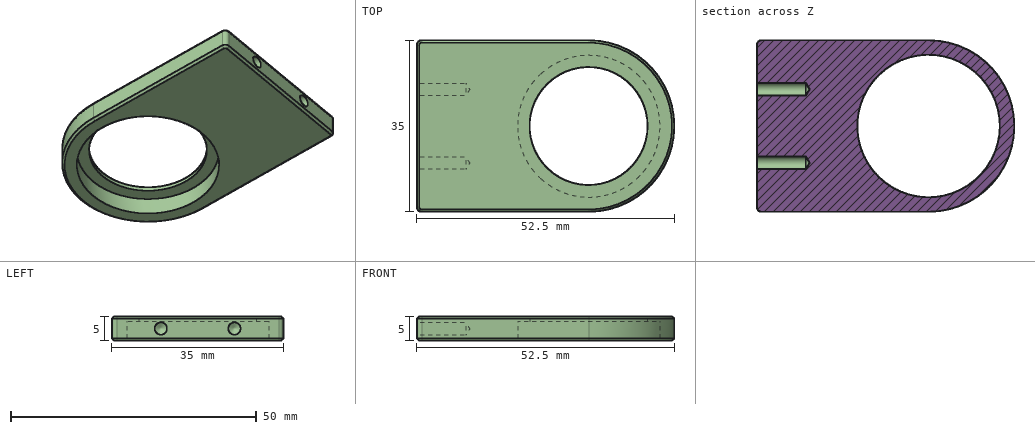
import cadquery as cq
import math

width = 35.0
end_radius = width / 2
straight_length = 35.0
thickness = 5.0
corner_radius = 1.0
edge_chamfer = 0.5

bore_diameter = 24.0
lip_thickness = 1.0
recess_diameter = 29.0

hole_diameter = 2.5
hole_spacing = 15.0
hole_depth = 10.0
drill_point_angle = 118.0


def make_plate():
    """Round-ended plate with rounded square corners and chamfered rims."""
    plate = (
        cq.Workplane("XY")
        .moveTo(0, -end_radius)
        .threePointArc((end_radius, 0), (0, end_radius))
        .lineTo(-straight_length, end_radius)
        .lineTo(-straight_length, -end_radius)
        .close()
        .extrude(thickness)
    )
    plate = plate.edges("|Z and <X").fillet(corner_radius)
    return plate.faces("<Z or >Z").edges().chamfer(edge_chamfer)


def make_stepped_bore():
    """Cutter for the through bore and the recess below its lip."""
    bore = cq.Workplane("XY").circle(bore_diameter / 2).extrude(thickness)
    recess = cq.Workplane("XY").circle(recess_diameter / 2).extrude(thickness - lip_thickness)
    return bore.union(recess)


def make_end_hole(y):
    """Cutter for one drilled hole along +X with a conical bottom."""
    radius = hole_diameter / 2
    point_length = radius / math.tan(math.radians(drill_point_angle / 2))
    return (
        cq.Workplane("XY")
        .lineTo(hole_depth + point_length, 0)
        .lineTo(hole_depth, radius)
        .lineTo(0, radius)
        .close()
        .revolve(360, (0, 0, 0), (1, 0, 0))
        .translate((-straight_length, y, thickness / 2))
    )


result = make_plate().cut(make_stepped_bore())
for hole_y in (-hole_spacing / 2, hole_spacing / 2):
    result = result.cut(make_end_hole(hole_y))